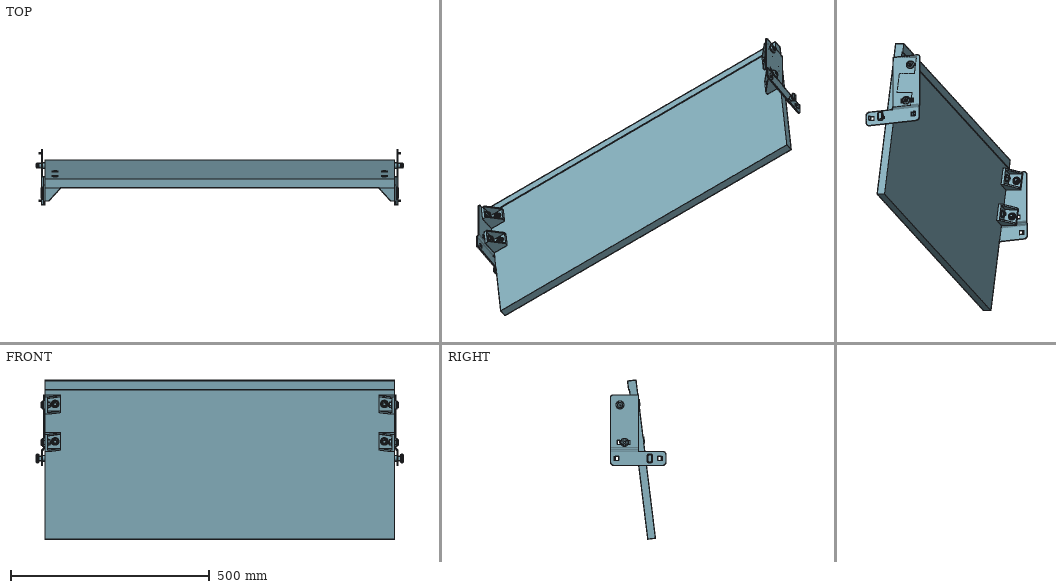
import cadquery as cq
import math

overall_width = 924.0
overall_depth = 140.0
overall_height = 401.01

panel_width = 880.0
panel_thickness = 20.0
panel_tilt = 7.0
panel_foot_y = 23.7
lip_height = 22.5
lip_depth = 2.0

gusset_leg = 40.0
gusset_height = 44.0
gusset_wall = 7.0
gusset_rib = 4.0
gusset_tip = 10.0
gusset_heel = 7.0
lower_gusset_height = 249.0
gusset_pitch = 95.0
side_bolt_reach = 28.0
panel_bolt_inset = 26.0

sheet = 3.0
bend_inner_radius = 1.5
plate_front_y = -overall_depth / 2
plate_back_y = 1.0
plate_top_z = 163.0
plate_corner = 7.0
joggle_top_z = 29.5
joggle_bottom_z = 23.5
joggle_offset = 5.5
strap_top_z = 21.0
strap_height = 36.0
strap_corner = 9.0
slot_length = 32.0
slot_width = 10.0
slot_forward_shift = 2.0

window_length = 12.0
window_height = 10.0
window_y = 55.3
tab_length = 3.5
tab_reach = 6.0

bolt_diameter = 8.0
bolt_head_diameter = 20.0
bolt_head_height = 6.0
bolt_head_chamfer = 3.5
socket_size = 6.0
socket_depth = 3.0
nut_size = 15.0
nut_height = 6.0
nut_flange_diameter = 19.0
nut_flange_height = 1.5
bolt_end_reach = 9.0
back_head_diameter = 15.0
back_head_height = 2.0

clamp_y = 29.0
clamp_knob_length = 22.0
clamp_knob_width = 13.0
clamp_knob_thickness = 8.0
clamp_knob_corner = 4.0
clamp_knob_chamfer = 2.5
clamp_shank_diameter = 12.5
clamp_collar_diameter = 15.0

tilt = math.radians(panel_tilt)
panel_end_x = panel_width / 2
plate_outer_x = panel_end_x + sheet
strap_inner_x = panel_end_x + joggle_offset
strap_outer_x = strap_inner_x + sheet
strap_mid_z = strap_top_z - strap_height / 2
foot_z = -overall_height / 2
panel_length = (overall_height - panel_thickness * math.sin(tilt)) / math.cos(tilt)
gusset_centres = [lower_gusset_height, lower_gusset_height + gusset_pitch]


def box(x_range, y_range, z_range):
    """Block between the given limits."""
    size = [high - low for low, high in (x_range, y_range, z_range)]
    corner = (x_range[0], y_range[0], z_range[0])
    return cq.Workplane("XY").box(*size, centered=False).translate(corner)


def place_tilted(body):
    """Move a body from the panel frame (foot edge at the origin) to its tilted position."""
    return body.rotate((0, 0, 0), (1, 0, 0), panel_tilt).translate((0, panel_foot_y, foot_z))


def tilted_point(y, z):
    """Y and Z of a panel-frame point after tilting."""
    return (
        panel_foot_y + y * math.cos(tilt) - z * math.sin(tilt),
        foot_z + y * math.sin(tilt) + z * math.cos(tilt),
    )


def x_plane(x, y, z):
    """Workplane facing +X at a point; its local axes are Y and Z."""
    return cq.Workplane("YZ", origin=(x, y, z))


def make_panel():
    """Flat panel with a thicker lip along its top front edge."""
    profile = [
        (0, 0),
        (panel_thickness, 0),
        (panel_thickness, panel_length),
        (-lip_depth, panel_length),
        (-lip_depth, panel_length - lip_height),
        (0, panel_length - lip_height),
    ]
    return x_plane(0, 0, 0).polyline(profile).close().extrude(panel_end_x, both=True)


def flange_nut(seat, direction):
    """Flange nut with its bolt end, standing on a workplane along its normal (1) or against it (-1)."""
    flange = seat.circle(nut_flange_diameter / 2).extrude(direction * nut_flange_height)
    hexagon = seat.polygon(6, nut_size).extrude(direction * nut_height)
    bolt_end = seat.circle(bolt_diameter / 2).extrude(direction * bolt_end_reach)
    return flange.union(hexagon).union(bolt_end)


def make_gusset(centre):
    """Right-hand corner gusset in the panel frame: two walls, two ribs and two nuts."""
    inner_x = panel_end_x - gusset_leg
    outline = [
        (panel_end_x, 0),
        (inner_x, 0),
        (inner_x, -gusset_heel),
        (panel_end_x - gusset_tip, -gusset_leg),
        (panel_end_x, -gusset_leg),
    ]
    bottom = centre - gusset_height / 2
    body = cq.Workplane("XY", origin=(0, 0, bottom)).polyline(outline).close().extrude(gusset_height)
    recess = box(
        (inner_x, panel_end_x - gusset_wall),
        (-gusset_leg, -gusset_wall),
        (bottom + gusset_rib, bottom + gusset_height - gusset_rib),
    )
    side_nut = flange_nut(x_plane(panel_end_x - gusset_wall, -side_bolt_reach, centre), -1)
    panel_face = cq.Workplane("XZ", origin=(panel_end_x - panel_bolt_inset, -gusset_wall, centre))
    panel_nut = flange_nut(panel_face, 1)
    return body.cut(recess).union(side_nut).union(panel_nut)


def make_back_head(centre):
    """Flat head of the panel bolt on the back of the panel."""
    return (
        cq.Workplane("XZ", origin=(panel_end_x - panel_bolt_inset, panel_thickness, centre))
        .circle(back_head_diameter / 2)
        .extrude(-back_head_height)
    )


def round_bends(plate, corners, radius):
    """Round the bend edges of the side plate that pass through the given X, Z corners."""
    for x, z in corners:
        edge = cq.selectors.NearestToPointSelector((x, (plate_front_y + plate_back_y) / 2, z))
        plate = plate.edges("|Y").edges(edge).fillet(radius)
    return plate


def make_side_plate():
    """Right-hand side plate, joggled outwards into a long strap."""
    depth = plate_back_y - plate_front_y
    bend_angle = math.atan2(joggle_offset, joggle_top_z - joggle_bottom_z)
    bend_drop = sheet * math.tan(bend_angle / 2)
    upper_outer = (plate_outer_x, joggle_top_z)
    lower_outer = (strap_outer_x, joggle_bottom_z)
    lower_inner = (strap_inner_x, joggle_bottom_z - bend_drop)
    upper_inner = (panel_end_x, joggle_top_z - bend_drop)
    section = [
        (panel_end_x, plate_top_z),
        (plate_outer_x, plate_top_z),
        upper_outer,
        lower_outer,
        (strap_outer_x, strap_mid_z),
        (strap_inner_x, strap_mid_z),
        lower_inner,
        upper_inner,
    ]
    plate = cq.Workplane("XZ", origin=(0, plate_back_y, 0)).polyline(section).close().extrude(depth)
    plate = round_bends(plate, [upper_outer, lower_inner], bend_inner_radius)
    plate = round_bends(plate, [lower_outer, upper_inner], bend_inner_radius + sheet)
    plate = plate.edges("|X and >Z and <Y").fillet(plate_corner)
    strap = box(
        (strap_inner_x, strap_outer_x),
        (-overall_depth / 2, overall_depth / 2),
        (strap_top_z - strap_height, strap_top_z),
    )
    strap = strap.edges("|X and >Y").fillet(strap_corner)
    strap = strap.edges("|X and <Y and <Z").fillet(strap_corner)
    slot_y, slot_z = tilted_point(-side_bolt_reach, lower_gusset_height)
    slot = x_plane(panel_end_x, slot_y - slot_forward_shift, slot_z)
    slot = slot.rect(slot_length, slot_width).extrude(sheet)
    plate = plate.cut(slot).union(strap)
    for side in (-1, 1):
        plate = add_tabbed_window(plate, side)
    return plate


def add_tabbed_window(plate, side):
    """Rectangular strap window whose outer part is filled by an outward tab."""
    window = x_plane(strap_inner_x, side * window_y, strap_mid_z)
    window = window.rect(window_length, window_height).extrude(sheet)
    tab_y = side * (window_y + (window_length - tab_length) / 2)
    tab = x_plane(strap_inner_x, tab_y, strap_mid_z)
    tab = tab.rect(tab_length, window_height).extrude(sheet + tab_reach)
    return plate.cut(window).union(tab)


def make_side_bolt(centre):
    """Socket-head bolt through the side plate into a gusset."""
    y, z = tilted_point(-side_bolt_reach, centre)
    shank = x_plane(panel_end_x, y, z).circle(bolt_diameter / 2).extrude(sheet)
    head = x_plane(plate_outer_x, y, z).circle(bolt_head_diameter / 2).extrude(bolt_head_height)
    head = head.faces(">X").chamfer(bolt_head_chamfer)
    socket = x_plane(plate_outer_x + bolt_head_height, y, z).polygon(6, socket_size).extrude(-socket_depth)
    return shank.union(head).cut(socket)


def make_clamp_screw():
    """Knobbed clamp screw through the strap, reaching the panel end."""
    knob_x = overall_width / 2 - clamp_knob_thickness
    shank = x_plane(panel_end_x, clamp_y, strap_mid_z)
    shank = shank.circle(clamp_shank_diameter / 2).extrude(knob_x - panel_end_x)
    collar = x_plane(panel_end_x, clamp_y, strap_mid_z)
    collar = collar.circle(clamp_collar_diameter / 2).extrude(joggle_offset)
    knob = x_plane(knob_x, clamp_y, strap_mid_z).rect(clamp_knob_width, clamp_knob_length)
    knob = knob.extrude(clamp_knob_thickness).edges("|X").fillet(clamp_knob_corner)
    knob = knob.faces("<X or >X").chamfer(clamp_knob_chamfer)
    return shank.union(collar).union(knob)


def make_right_side():
    """Everything attached to the right-hand end of the panel."""
    side = make_side_plate().union(make_clamp_screw())
    for centre in gusset_centres:
        side = side.union(make_side_bolt(centre))
        side = side.union(place_tilted(make_gusset(centre)))
        side = side.union(place_tilted(make_back_head(centre)))
    return side


right_side = make_right_side()
result = place_tilted(make_panel()).union(right_side).union(right_side.mirror("YZ"))